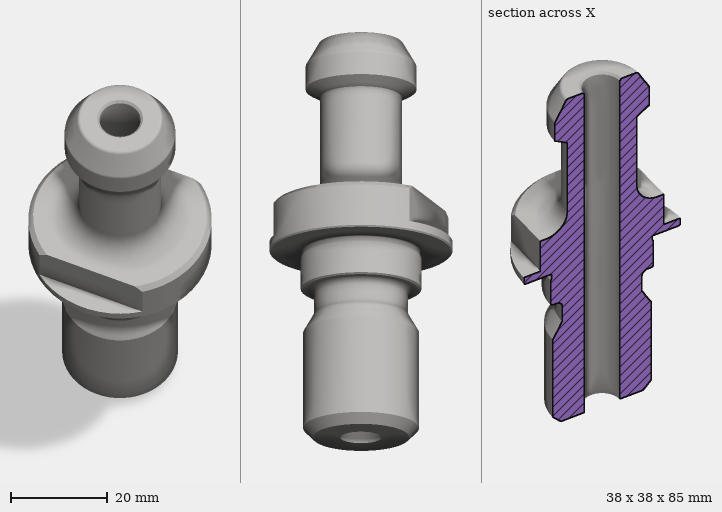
import cadquery as cq
import math


top_z = 45.0
head_radius = 23.0 / 2
head_shoulder_z = 40.0
head_underside_z = 35.0
taper_angle = math.radians(30.0)
head_rim_radius = 0.8
head_shoulder_radius = 1.0
neck_radius = 17.0 / 2
neck_root_radius = 5.0

flange_radius = 38.0 / 2
flange_height = 10.0
flange_top_chamfer = 1.0
flange_seat_chamfer = 0.3
flats_width = 30.0
flats_floor_z = 2.0

groove_radius = 24.5 / 2
groove_width = 1.0
groove_root_radius = 0.2
collar_radius = 25.0 / 2
collar_chamfer_top_z = -8.0
collar_chamfer_width = 0.5

relief_radius = 19.5 / 2
relief_root_radius = 1.2
relief_bottom_z = -13.5
shank_radius = 24.0 / 2
shank_bottom_z = -40.0
shank_end_chamfer = 2.0

bore_radius = 8.5 / 2
bore_chamfer = 0.5


def axial_run(radial_step):
    """Axial length of a cone set at the taper angle to the axis."""
    return radial_step / math.tan(taper_angle)


def rounded_corner(profile, corner_x, corner_z, radius, angle_in, angle_out):
    """Line up to a rounded corner, then the tangent arc.  Angles are travel directions in radians."""
    turn = angle_out - angle_in
    setback = radius * math.tan(abs(turn) / 2)
    apex_gap = radius / math.cos(turn / 2) - radius
    bisector = (angle_in + angle_out) / 2 + math.copysign(math.pi / 2, turn)
    start = (corner_x - setback * math.cos(angle_in), corner_z - setback * math.sin(angle_in))
    middle = (corner_x + apex_gap * math.cos(bisector), corner_z + apex_gap * math.sin(bisector))
    end = (corner_x + setback * math.cos(angle_out), corner_z + setback * math.sin(angle_out))
    return profile.lineTo(*start).threePointArc(middle, end)


def turned_body():
    """Solid of revolution, its half outline drawn in XZ from the top down."""
    outward = 0.0
    down = -math.pi / 2
    inward = -math.pi
    down_taper = down + taper_angle
    cone_top_radius = head_radius - (top_z - head_shoulder_z) * math.tan(taper_angle)
    neck_top_z = head_underside_z - (head_radius - neck_radius) * math.tan(taper_angle)
    collar_top_z = -groove_width - axial_run(collar_radius - groove_radius)
    collar_bottom_z = collar_chamfer_top_z - collar_chamfer_width * math.tan(taper_angle)
    shank_top_z = relief_bottom_z - axial_run(shank_radius - relief_radius)

    profile = cq.Workplane("XZ").moveTo(0, top_z)
    profile = rounded_corner(profile, cone_top_radius, top_z, head_rim_radius, outward, down_taper)
    profile = rounded_corner(
        profile, head_radius, head_shoulder_z, head_shoulder_radius, down_taper, down
    )
    profile = profile.lineTo(head_radius, head_underside_z).lineTo(neck_radius, neck_top_z)
    profile = rounded_corner(profile, neck_radius, flange_height, neck_root_radius, down, outward)
    profile = (
        profile.lineTo(flange_radius - flange_top_chamfer, flange_height)
        .lineTo(flange_radius, flange_height - flange_top_chamfer)
        .lineTo(flange_radius, flange_seat_chamfer)
        .lineTo(flange_radius - flange_seat_chamfer, 0)
    )
    profile = rounded_corner(profile, groove_radius, 0, groove_root_radius, inward, down)
    profile = (
        profile.lineTo(groove_radius, -groove_width)
        .lineTo(collar_radius, collar_top_z)
        .lineTo(collar_radius, collar_chamfer_top_z)
        .lineTo(collar_radius - collar_chamfer_width, collar_bottom_z)
    )
    profile = rounded_corner(
        profile, relief_radius, collar_bottom_z, relief_root_radius, inward, down
    )
    profile = (
        profile.lineTo(relief_radius, relief_bottom_z)
        .lineTo(shank_radius, shank_top_z)
        .lineTo(shank_radius, shank_bottom_z + shank_end_chamfer)
        .lineTo(shank_radius - shank_end_chamfer, shank_bottom_z)
        .lineTo(0, shank_bottom_z)
        .close()
    )
    return profile.revolve(360, (0, 0, 0), (0, 1, 0))


def cut_wrench_flats(body):
    """Two parallel flats facing -Y and +Y, leaving a thin full disc at the seat."""
    cut_depth = flange_radius
    for side in (-1, 1):
        cutter = cq.Workplane("XY").box(
            2 * flange_radius, cut_depth, flange_height - flats_floor_z, centered=(True, True, False)
        )
        body = body.cut(cutter.translate((0, side * (flats_width + cut_depth) / 2, flats_floor_z)))
    return body


def cut_bore(body):
    """Through bore with a chamfered mouth at the top."""
    bore = cq.Workplane("XY").workplane(offset=shank_bottom_z).circle(bore_radius)
    bore = bore.extrude(top_z - shank_bottom_z)
    mouth = cq.Solid.makeCone(
        bore_radius, bore_radius + bore_chamfer, bore_chamfer, cq.Vector(0, 0, top_z - bore_chamfer)
    )
    return body.cut(bore).cut(cq.Workplane(mouth))


result = cut_bore(cut_wrench_flats(turned_body()))